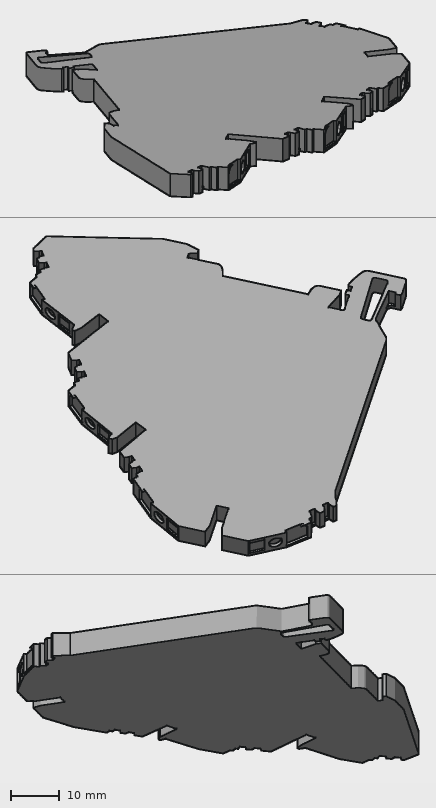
import cadquery as cq
import math

thickness = 5.0
overall_width = 77.3
overall_height = 73.7
leftmost_x = -1.2
rightmost_x = leftmost_x + overall_width

dome_center_x = 21.25
crest_half_width = 7.4
shoulder_half_width = 14.45
shoulder_y = 69.5
dome_slot_width = 2.55
dome_slot_mouth = 3.55
dome_slot_depth = 7.1
dome_slot_taper = 1.8

dome_rack_angle = 45.0
tier_rack_angle = 56.0
tooth_width = 1.15
tooth_pitch = 3.2
notch_depth = 1.0
notch_taper = 0.4
notch_undercut = 0.55
rack_ledge = 0.55

dome_tip_steps = [(0.7, -0.85), (0.2, -1.3)]
tier_tip_steps = [(1.0, -1.85), (0.6, -2.3), (1.5, -3.25), (1.15, -3.7)]

left_tip = (2.6, 65.7)
left_tooth = (1.55, 62.9)
right_tip = (40.8, 64.3)
right_tooth = (41.8, 61.8)
middle_slope_start = (48.2, 54.2)
middle_shoulder = (55.7, 49.8)
middle_tip = (59.6, 45.9)
middle_tooth = (59.2, 40.75)
lower_slope_start = (62.85, 29.15)
lower_shoulder = (70.9, 24.7)
lower_tip = (74.45, 21.0)
lower_tooth = (74.0, 15.6)

entry_hole_offset = 2.4
entry_hole_diameter = 2.8
entry_hole_depth = 0.8
recess_start = 4.7
recess_end = 7.9
recess_height = 3.4
recess_depth = 0.5

pocket_length = 4.9
pocket_floor = 0.55
pocket_depth = 0.6
pocket_corner_radius = 1.55

foot_height = 4.4
foot_corner_radius = 0.7
foot_bevel_width = 0.15
foot_bevel_height = 0.55
foot_relief_x = 1.3
foot_relief_depth = 0.5
foot_relief_floor = 0.9
hook_fillet = 1.1
hook_corner = (2.85, foot_height)
neck_top = (3.55, 11.7)
neck_radius = 0.4
wall_end = (0, 15.85)
wall_end_radius = 1.55
catch_x = 10.35
catch_tip_x = 11.2
catch_radius = 0.4
rail_corner_radius = 1.4
rail_top_y = 9.05
rail_side_y = 6.35
base_y = 3.0
spring_slot = [(4.3, 12.4), (6.6, 12.4), (6.9, 1.4), (3.55, 1.4)]
spring_slot_radius = 0.55


def rack_point(tooth, angle, side, along, out):
    """Point in a rack's frame: along the teeth (downwards) and outwards."""
    cosine = math.cos(math.radians(angle))
    sine = math.sin(math.radians(angle))
    x = tooth[0] + side * (along * cosine + out * sine)
    y = tooth[1] - along * sine + out * cosine
    return (x, y)


floor_width = tooth_pitch - tooth_width - 2 * notch_taper
notch_starts = [-notch_taper - floor_width, tooth_width + notch_taper]


def rack(tip, steps, tooth, angle, side):
    """Outline from a tip down to the start of the second tooth."""
    profile = [
        (notch_starts[0], -notch_depth),
        (notch_starts[0] + floor_width, -notch_depth),
        (0, 0),
        (tooth_width, 0),
        (notch_starts[1], -notch_depth),
        (notch_starts[1] + floor_width, -notch_depth),
        (tooth_pitch, 0),
    ]
    wall = [tip] + [(tip[0] - side * dx, tip[1] + dy) for dx, dy in steps]
    return wall + [rack_point(tooth, angle, side, along, out) for along, out in profile]


left_rack = (left_tip, dome_tip_steps, left_tooth, dome_rack_angle, -1)
right_rack = (right_tip, dome_tip_steps, right_tooth, dome_rack_angle, 1)
middle_rack = (middle_tip, tier_tip_steps, middle_tooth, tier_rack_angle, 1)
lower_rack = (lower_tip, tier_tip_steps, lower_tooth, tier_rack_angle, 1)
racks = [left_rack, right_rack, middle_rack, lower_rack]

left_crest = (dome_center_x - crest_half_width, overall_height)
right_crest = (dome_center_x + crest_half_width, overall_height)
left_shoulder = (dome_center_x - shoulder_half_width, shoulder_y)
right_shoulder = (dome_center_x + shoulder_half_width, shoulder_y)

dome_slot = [
    (dome_center_x - dome_slot_mouth / 2, overall_height),
    (dome_center_x - dome_slot_width / 2, overall_height - dome_slot_taper),
    (dome_center_x - dome_slot_width / 2, overall_height - dome_slot_depth),
    (dome_center_x + dome_slot_width / 2, overall_height - dome_slot_depth),
    (dome_center_x + dome_slot_width / 2, overall_height - dome_slot_taper),
    (dome_center_x + dome_slot_mouth / 2, overall_height),
]
dome = (
    [(0, 56.75), (leftmost_x, 60.1)]
    + rack(*left_rack)[::-1]
    + [left_shoulder, left_crest]
    + dome_slot
    + [right_crest, right_shoulder]
    + rack(*right_rack)
    + [(45.4, 58.2)]
)
middle_tier = (
    [(41.7, 51.4), (44.1, 50.2), (46.8, 54.9), (47.6, 55.6), (48.5, 55.6)]
    + [middle_slope_start, middle_shoulder]
    + rack(*middle_rack)
    + [(62.15, 36.4)]
)
lower_tier = (
    [(56.35, 26.45), (58.6, 25.2), (61.15, 29.45), (62.3, 30.7), (62.9, 30.45)]
    + [lower_slope_start, lower_shoulder]
    + rack(*lower_rack)
    + [(rightmost_x, 12.45), (74.3, 8.6)]
)
rail_left_corner = (17.55, rail_side_y)
rail_right_corner = (37.7, rail_side_y)
rail_side = [
    (51.0, base_y), (45.9, base_y), (43.2, 3.9), (43.2, 4.7), (44.9, 5.3), (44.9, rail_side_y),
    rail_right_corner, (37.0, 7.7), (36.7, rail_top_y),
    (18.55, rail_top_y), (18.25, 7.6), rail_left_corner,
    (12.3, rail_side_y), (12.3, 7.6), (13.7, 11.2),
]
catch = [
    (catch_x, 11.2), (catch_x, 7.1), (catch_tip_x, 7.1), (catch_tip_x, 5.95),
    (catch_x, 5.95), (catch_x, 4.9), (catch_tip_x, 4.9), (catch_tip_x, 4.4),
]
toe_side_mid = (10.35, 2.5)
toe_side_end = (9.3, 0.6)
toe_round_mid = (8.65, 0.15)
toe_round_end = (7.9, 0)
foot_left_side = [
    (0, 0), (0, foot_height - foot_bevel_height), (foot_bevel_width, foot_height),
    hook_corner, neck_top, wall_end,
]


def build_plate():
    outline = dome + middle_tier + lower_tier + rail_side + catch
    plate = (
        cq.Workplane("XY")
        .polyline(outline)
        .threePointArc(toe_side_mid, toe_side_end)
        .threePointArc(toe_round_mid, toe_round_end)
        .polyline(foot_left_side, includeCurrent=True)
        .close()
        .extrude(thickness)
    )

    rounded_corners = [
        (foot_left_side[0], foot_corner_radius),
        (hook_corner, hook_fillet),
        (neck_top, neck_radius),
        (wall_end, wall_end_radius),
        (catch[0], catch_radius),
        (rail_left_corner, rail_corner_radius),
        (rail_right_corner, rail_corner_radius),
    ]
    for (x, y), radius in rounded_corners:
        corner = cq.selectors.NearestToPointSelector((x, y, thickness / 2))
        plate = plate.edges(corner).fillet(radius)

    slot = cq.Workplane("XY").polyline(spring_slot).close().extrude(thickness)
    return plate.cut(slot.edges("|Z").fillet(spring_slot_radius))


def neck_x(y):
    """X of the slanted left side of the neck at a given Y."""
    slant = (neck_top[0] - hook_corner[0]) / (neck_top[1] - hook_corner[1])
    return hook_corner[0] + slant * (y - hook_corner[1])


def foot_relief():
    """Sharp-cornered groove beside the neck, above a thin filleted web."""
    bottom = foot_height - foot_relief_depth
    top = foot_height + 2 * hook_fillet
    return (
        cq.Workplane("XY", origin=(0, 0, foot_relief_floor))
        .polyline([
            (foot_relief_x, bottom),
            (neck_x(bottom), bottom),
            (neck_x(top), top),
            (foot_relief_x, top),
        ])
        .close()
        .extrude(thickness)
    )


def notch_relief(tooth, angle, side, start):
    """Deepens a rack notch above a thin ledge at the bottom face."""
    end = start + floor_width
    bottom = -notch_depth - notch_undercut
    corners = [(start, -notch_depth), (end, -notch_depth), (end, bottom), (start, bottom)]
    return (
        cq.Workplane("XY", origin=(0, 0, rack_ledge))
        .polyline([rack_point(tooth, angle, side, along, out) for along, out in corners])
        .close()
        .extrude(thickness)
    )


def face_plane(start, end, side):
    """Workplane on a sloped face: local x is height above the bottom face.

    Local y runs along the face, with side * distance measured from start to end.
    """
    dx = end[0] - start[0]
    dy = end[1] - start[1]
    normal = (-dy * side, dx * side, 0)
    return cq.Workplane(cq.Plane(origin=(*start, 0), xDir=(0, 0, 1), normal=normal))


def wire_entry(shoulder, slope_top, side):
    """Round hole near the shoulder and rectangular recess further up the slope."""
    face = face_plane(shoulder, slope_top, side)
    hole = (
        face.center(thickness / 2, side * entry_hole_offset)
        .circle(entry_hole_diameter / 2)
        .extrude(-entry_hole_depth)
    )
    recess = (
        face_plane(shoulder, slope_top, side)
        .center(thickness / 2, side * (recess_start + recess_end) / 2)
        .rect(recess_height, recess_end - recess_start)
        .extrude(-recess_depth)
    )
    return hole.union(recess)


def shoulder_pocket(shoulder, tip, side):
    """Shallow pocket from the shoulder towards the tip with a rounded upper corner."""
    arc_start = thickness - pocket_corner_radius
    diagonal = pocket_corner_radius * math.sqrt(0.5)
    arc_mid = (arc_start + diagonal, side * (pocket_length - pocket_corner_radius + diagonal))
    return (
        face_plane(shoulder, tip, side)
        .moveTo(pocket_floor, 0)
        .lineTo(pocket_floor, side * pocket_length)
        .lineTo(arc_start, side * pocket_length)
        .threePointArc(arc_mid, (thickness, side * (pocket_length - pocket_corner_radius)))
        .lineTo(thickness, 0)
        .close()
        .extrude(-pocket_depth)
    )


result = build_plate().cut(foot_relief())

for _, _, tooth, angle, side in racks:
    for start in notch_starts:
        result = result.cut(notch_relief(tooth, angle, side, start))

slopes = [
    (left_crest, left_shoulder, left_tip, 1),
    (right_crest, right_shoulder, right_tip, -1),
    (middle_slope_start, middle_shoulder, middle_tip, -1),
    (lower_slope_start, lower_shoulder, lower_tip, -1),
]
for slope_top, shoulder, tip, side in slopes:
    result = result.cut(wire_entry(shoulder, slope_top, side))
    result = result.cut(shoulder_pocket(shoulder, tip, -side))